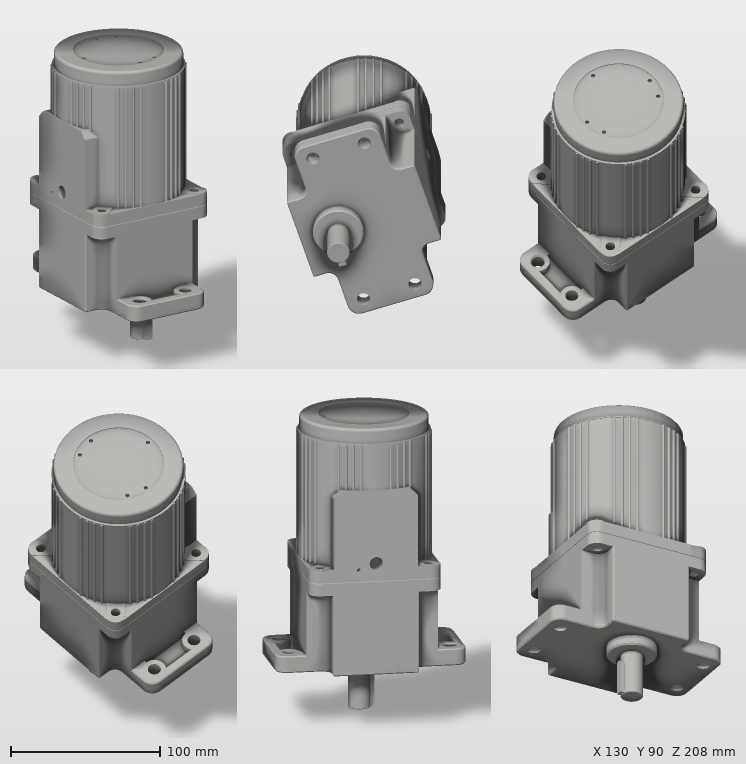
import cadquery as cq
import math


FRAME_SIZE = 90.0
CORNER_RADIUS = 7.5
BOLT_OFFSET = 36.8
BOLT_HOLE_DIAMETER = 6.5

JOINT_Z = 65.0
NOTCH_TOP_Z = 56.2
NOTCH_OFFSET_X = 29.3
NOTCH_OFFSET_Y = 30.0
NOTCH_RADIUS = 6.5
EDGE_CHAMFER = 0.8
WALL_EDGE_FILLET = 1.0
JOINT_CHAMFER = 0.5
NOTCH_CLEARANCE = 2.0

FOOT_LENGTH = 130.0
FOOT_HEIGHT = 11.6
FOOT_CORNER_RADIUS = 8.0
FOOT_HOLE_X = 55.0
FOOT_HOLE_Y = 18.0
FOOT_HOLE_DIAMETER = 8.7
COUNTERSINK_DIAMETER = 10.8
POCKET_OUTER_X = 59.5
POCKET_DEPTH = 6.0
POCKET_FLOOR_FILLET = 0.8
HOLE_BOSS_RADIUS = 8.0

SHAFT_Y = 18.0
SHAFT_DIAMETER = 15.0
SHAFT_END_Z = -38.0
SHAFT_CHAMFER = 0.5
PILOT_DIAMETER = 34.1
PILOT_HEIGHT = 7.0
PILOT_CHAMFER = 1.0
KEY_WIDTH = 5.0
KEY_OUTER_X = 10.0
KEY_TOP_Z = -13.0

MOTOR_FLANGE_TOP_Z = 73.2
PAD_WIDTH = 11.9
PAD_HEIGHT = 0.6
BODY_RADIUS = 44.5
BODY_TOP_Z = 160.0
LIP_RADIUS = 45.0
LIP_HEIGHT = 0.6
RIB_TIP_CENTRE_RADIUS = LIP_RADIUS
RIB_TIP_ROUNDING = 0.8
RIB_COUNT_PER_SIDE = 4
RIB_FIRST_ANGLE = 13.0
RIB_PITCH_ANGLE = 6.6
CAP_RADIUS = 43.5
CAP_TOP_Z = 170.0
CAP_FILLET = 2.0
RECESS_RADIUS = 30.5
RECESS_DEPTH = 0.6
SCREW_CIRCLE_RADIUS = 27.0
SCREW_HOLE_DIAMETER = 3.0
SCREW_HOLE_DEPTH = 2.0
SCREW_ANGLES = (0, 30, 150, 180, 270)

BOX_WIDTH = 57.0
BOX_TOP_Z = 128.0
BOX_CHAMFER = 5.0
BOX_ROOT_FILLET = 1.2
CABLE_HOLE_DIAMETER = 9.2
CABLE_HOLE_Z = 77.0
CABLE_HOLE_DEPTH = 10.5
GROUND_HOLE_DIAMETER = 2.5
GROUND_HOLE_X = -12.0
GROUND_HOLE_Z = 73.0
GROUND_HOLE_DEPTH = 5.2

HALF_FRAME = FRAME_SIZE / 2


def block(width, depth, bottom, top):
    """Box centred on the Z axis between two levels."""
    return cq.Workplane().workplane(offset=bottom).rect(width, depth).extrude(top - bottom)


def disc(radius, bottom, top, x=0, y=0):
    """Vertical cylinder between two levels."""
    return cq.Workplane().workplane(offset=bottom).center(x, y).circle(radius).extrude(top - bottom)


def countersink(diameter, depth, top, x, y):
    """45 degree cone frustum that narrows downwards from its top level."""
    circle = cq.Workplane().workplane(offset=top).center(x, y).circle(diameter / 2)
    return circle.extrude(-depth, taper=45)


def flange(bottom, top):
    """Square plate with rounded corners."""
    return block(FRAME_SIZE, FRAME_SIZE, bottom, top).edges("|Z").fillet(CORNER_RADIUS)


def bolt_holes(bottom, top):
    """Cutter for the four corner bolts."""
    spacing = 2 * BOLT_OFFSET
    centres = cq.Workplane().workplane(offset=bottom).rect(spacing, spacing, forConstruction=True).vertices()
    return centres.circle(BOLT_HOLE_DIAMETER / 2).extrude(top - bottom)


def corner_notches():
    """Cutter for the four corners below the flange, which clear the bolts."""
    reach_x = HALF_FRAME - NOTCH_OFFSET_X + NOTCH_CLEARANCE
    reach_y = HALF_FRAME - NOTCH_OFFSET_Y + NOTCH_CLEARANCE
    notch = cq.Workplane().rect(reach_x, reach_y, centered=False).extrude(NOTCH_TOP_Z)
    notch = notch.edges("|Z and <X and <Y").fillet(NOTCH_RADIUS)
    notch = notch.translate((NOTCH_OFFSET_X, NOTCH_OFFSET_Y, 0))
    pair = notch.union(notch.mirror("YZ"))
    return pair.union(pair.mirror("XZ"))


def foot_pocket():
    """Cutter for the pocket between the two holes of the +X foot."""
    floor = FOOT_HEIGHT - POCKET_DEPTH
    length = POCKET_OUTER_X - HALF_FRAME
    pocket = block(length, 2 * FOOT_HOLE_Y, floor, FOOT_HEIGHT).translate((HALF_FRAME + length / 2, 0, 0))
    for y in (-FOOT_HOLE_Y, FOOT_HOLE_Y):
        pocket = pocket.cut(disc(HOLE_BOSS_RADIUS, floor, FOOT_HEIGHT, FOOT_HOLE_X, y))
    return pocket.faces("<Z").edges().fillet(POCKET_FLOOR_FILLET)


def make_feet():
    """Plate whose two ends stick out as feet."""
    feet = block(FOOT_LENGTH, 2 * NOTCH_OFFSET_Y, 0, FOOT_HEIGHT)
    feet = feet.edges("|Z").fillet(FOOT_CORNER_RADIUS)
    feet = feet.faces(">Z").chamfer(EDGE_CHAMFER)
    pocket = foot_pocket()
    return feet.cut(pocket).cut(pocket.mirror("YZ"))


def foot_holes():
    """Cutter for the four foot holes, one of them countersunk."""
    cutter = cq.Workplane()
    for x in (-FOOT_HOLE_X, FOOT_HOLE_X):
        for y in (-FOOT_HOLE_Y, FOOT_HOLE_Y):
            cutter = cutter.add(disc(FOOT_HOLE_DIAMETER / 2, 0, FOOT_HEIGHT, x, y))
    sink_depth = (COUNTERSINK_DIAMETER - FOOT_HOLE_DIAMETER) / 2
    sink = countersink(COUNTERSINK_DIAMETER, sink_depth, FOOT_HEIGHT, FOOT_HOLE_X, -FOOT_HOLE_Y)
    return cutter.add(sink).combine()


def make_output_shaft():
    """Pilot boss, shaft and key below the mounting face."""
    pilot = disc(PILOT_DIAMETER / 2, -PILOT_HEIGHT, 0, y=SHAFT_Y).faces("<Z").chamfer(PILOT_CHAMFER)
    shaft = disc(SHAFT_DIAMETER / 2, SHAFT_END_Z, 0, y=SHAFT_Y).faces("<Z").chamfer(SHAFT_CHAMFER)
    key_bottom = SHAFT_END_Z + SHAFT_CHAMFER
    key_shoulder = KEY_TOP_Z - KEY_WIDTH / 2
    key = (
        cq.Workplane("YZ")
        .moveTo(SHAFT_Y - KEY_WIDTH / 2, key_bottom)
        .lineTo(SHAFT_Y + KEY_WIDTH / 2, key_bottom)
        .lineTo(SHAFT_Y + KEY_WIDTH / 2, key_shoulder)
        .threePointArc((SHAFT_Y, KEY_TOP_Z), (SHAFT_Y - KEY_WIDTH / 2, key_shoulder))
        .close()
        .extrude(KEY_OUTER_X)
    )
    return pilot.union(shaft).union(key)


def make_gearbox():
    """Notched square housing with feet and output shaft; the upright edges of its Y walls are rounded."""
    body = flange(0, JOINT_Z).faces(">Z").chamfer(JOINT_CHAMFER).cut(corner_notches())
    below_flange = cq.selectors.BoxSelector(
        (-FRAME_SIZE, -FRAME_SIZE, 0), (FRAME_SIZE, FRAME_SIZE, NOTCH_TOP_Z)
    )
    body = body.faces("<Y or >Y").edges("|Z").edges(below_flange).fillet(WALL_EDGE_FILLET)
    body = body.union(make_feet()).faces("<Z").chamfer(EDGE_CHAMFER)
    body = body.cut(foot_holes()).cut(bolt_holes(NOTCH_TOP_Z, JOINT_Z))
    return body.union(make_output_shaft())


def make_motor_flange():
    """Flange with a raised diagonal pad around each corner bolt."""
    pad_top = MOTOR_FLANGE_TOP_Z + PAD_HEIGHT
    bands = cq.Workplane()
    for angle in (45, 135):
        band = block(2 * FRAME_SIZE, PAD_WIDTH, MOTOR_FLANGE_TOP_Z, pad_top)
        bands = bands.add(band.rotate((0, 0, 0), (0, 0, 1), angle))
    pads = flange(MOTOR_FLANGE_TOP_Z, pad_top).intersect(bands.combine())
    plate = flange(JOINT_Z, MOTOR_FLANGE_TOP_Z).union(pads)
    return plate.cut(bolt_holes(JOINT_Z, pad_top))


def add_ribs(body):
    """Add groups of round-tipped cooling ribs facing the four sides, ending under the lip of the body."""
    rib_top = BODY_TOP_Z - LIP_HEIGHT
    rib = disc(RIB_TIP_ROUNDING, MOTOR_FLANGE_TOP_Z, rib_top, x=RIB_TIP_CENTRE_RADIUS)
    web = block(RIB_TIP_CENTRE_RADIUS, 2 * RIB_TIP_ROUNDING, MOTOR_FLANGE_TOP_Z, rib_top)
    rib = rib.union(web.translate((RIB_TIP_CENTRE_RADIUS / 2, 0, 0)))
    for side in range(4):
        for number in range(RIB_COUNT_PER_SIDE):
            lean = RIB_FIRST_ANGLE + number * RIB_PITCH_ANGLE
            for angle in (90 * side - lean, 90 * side + lean):
                body = body.union(rib.rotate((0, 0, 0), (0, 0, 1), angle))
    return body


def make_cap():
    """End cap with a shallow round recess and five screw holes."""
    cap = disc(CAP_RADIUS, BODY_TOP_Z, CAP_TOP_Z).faces(">Z").edges().fillet(CAP_FILLET)
    floor = CAP_TOP_Z - RECESS_DEPTH
    cap = cap.cut(disc(RECESS_RADIUS, floor, CAP_TOP_Z))
    for angle in SCREW_ANGLES:
        x = SCREW_CIRCLE_RADIUS * math.cos(math.radians(angle))
        y = SCREW_CIRCLE_RADIUS * math.sin(math.radians(angle))
        cap = cap.cut(disc(SCREW_HOLE_DIAMETER / 2, floor - SCREW_HOLE_DEPTH, floor, x, y))
    return cap


def make_body_with_box():
    """Round body with the terminal box blended into it; the box top corners are chamfered."""
    body = disc(BODY_RADIUS, JOINT_Z, BODY_TOP_Z)
    box = block(BOX_WIDTH, HALF_FRAME, JOINT_Z, BOX_TOP_Z).translate((0, -HALF_FRAME / 2, 0))
    box = box.faces(">Z").edges("|Y").chamfer(BOX_CHAMFER)
    root_y = -math.sqrt(BODY_RADIUS**2 - (BOX_WIDTH / 2) ** 2)
    blended = body.union(box)
    for x in (-BOX_WIDTH / 2, BOX_WIDTH / 2):
        root = cq.NearestToPointSelector((x, root_y, (JOINT_Z + BOX_TOP_Z) / 2))
        blended = blended.edges(root).fillet(BOX_ROOT_FILLET)
    lip = disc(LIP_RADIUS, BODY_TOP_Z - LIP_HEIGHT, BODY_TOP_Z)
    return blended.union(lip)


def front_hole(diameter, depth, x, z):
    """Cutter for a hole that enters through the -Y face."""
    return cq.Workplane("XZ", origin=(x, -HALF_FRAME, z)).circle(diameter / 2).extrude(-depth)


def make_motor():
    """Flange, ribbed body with terminal box, and end cap as one solid."""
    motor = make_motor_flange().union(add_ribs(make_body_with_box())).union(make_cap())
    motor = motor.cut(front_hole(CABLE_HOLE_DIAMETER, CABLE_HOLE_DEPTH, 0, CABLE_HOLE_Z))
    return motor.cut(front_hole(GROUND_HOLE_DIAMETER, GROUND_HOLE_DEPTH, GROUND_HOLE_X, GROUND_HOLE_Z))


gearbox = make_gearbox().solids()
motor = make_motor().solids()
result = cq.Compound.makeCompound([gearbox.val(), motor.val()])